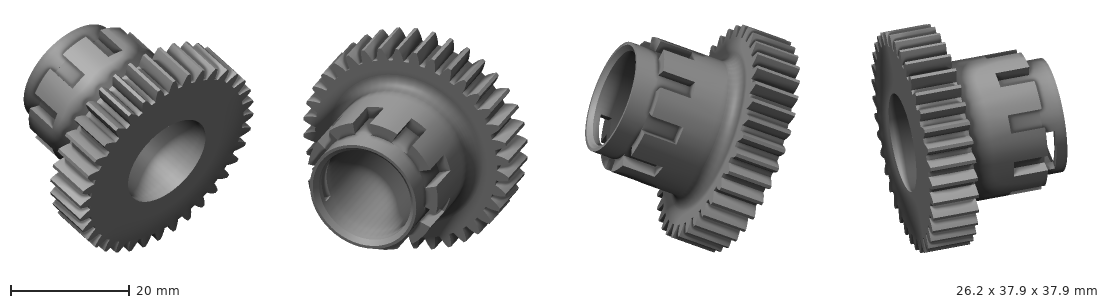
import cadquery as cq
import math

total_length = 26.2
gear_width = 8.0
lip_length = 4.0
slot_length = 6.0

bore_radius = 8.5
lip_radius = 9.8
hub_radius = 12.0
hub_fillet = 2.0
mouth_chamfer = 0.8

tooth_count = 36
gear_height = 37.9
root_radius = 16.75
root_thickness = 2.0
middle_thickness = 1.5
tip_angle = 1.8

slot_count = 9
slot_width = 3.2
slot_floor_radius = 9.78

window_start = 1.95
window_angle = 50

gear_start = total_length - gear_width
pitch_angle = 2 * math.pi / tooth_count
tip_half = math.radians(tip_angle / 2)
tip_radius = gear_height / 2 / math.cos(pitch_angle / 2 - tip_half)


def polar(radius, angle):
    return (radius * math.cos(angle), radius * math.sin(angle))


def gear_outline():
    middle_radius = (root_radius + tip_radius) / 2

    root_half = root_thickness / 2 / root_radius
    middle_half = middle_thickness / 2 / middle_radius

    first_centre = pitch_angle / 2
    outline = cq.Workplane("YZ", origin=(gear_start, 0, 0))
    outline = outline.moveTo(*polar(root_radius, first_centre - root_half))
    for tooth in range(tooth_count):
        centre = first_centre + tooth * pitch_angle
        rising_middle = polar(middle_radius, centre - middle_half)
        rising_tip = polar(tip_radius, centre - tip_half)
        falling_tip = polar(tip_radius, centre + tip_half)
        falling_middle = polar(middle_radius, centre + middle_half)
        falling_root = polar(root_radius, centre + root_half)
        space_middle = polar(root_radius, centre + pitch_angle / 2)
        next_root = polar(root_radius, centre + pitch_angle - root_half)
        outline = (
            outline.threePointArc(rising_middle, rising_tip)
            .threePointArc(polar(tip_radius, centre), falling_tip)
            .threePointArc(falling_middle, falling_root)
            .threePointArc(space_middle, next_root)
        )
    return outline.close()


def hub():
    """Stepped sleeve that flares into the gear face."""
    fillet_middle = hub_fillet * (1 - math.sqrt(0.5))
    return (
        cq.Workplane("XZ")
        .lineTo(0, lip_radius)
        .lineTo(lip_length, lip_radius)
        .lineTo(lip_length, hub_radius)
        .lineTo(gear_start - hub_fillet, hub_radius)
        .threePointArc(
            (gear_start - fillet_middle, hub_radius + fillet_middle),
            (gear_start, hub_radius + hub_fillet),
        )
        .lineTo(total_length, hub_radius + hub_fillet)
        .lineTo(total_length, 0)
        .close()
        .revolve(360, (0, 0, 0), (1, 0, 0))
    )


def bore():
    """Through bore with a chamfered mouth at the lip."""
    return (
        cq.Workplane("XZ")
        .lineTo(0, bore_radius + mouth_chamfer)
        .lineTo(mouth_chamfer, bore_radius)
        .lineTo(total_length, bore_radius)
        .lineTo(total_length, 0)
        .close()
        .revolve(360, (0, 0, 0), (1, 0, 0))
    )


def hub_slot(angle):
    """Flat-floored slot, open at the shoulder between lip and hub."""
    slot = cq.Workplane("XY").box(slot_length, hub_radius, slot_width, centered=(False, False, True))
    return slot.translate((lip_length, slot_floor_radius, 0)).rotate((0, 0, 0), (1, 0, 0), angle)


def lip_window():
    """Opening through the lip wall with radial end faces, ending at the hub shoulder."""
    half_angle = math.radians(window_angle / 2)
    return (
        cq.Workplane("YZ", origin=(window_start, 0, 0))
        .lineTo(*polar(hub_radius, -half_angle))
        .lineTo(*polar(hub_radius, half_angle))
        .close()
        .extrude(lip_length - window_start)
    )


gear = gear_outline().extrude(gear_width)
result = gear.union(hub()).cut(bore())
for index in range(slot_count):
    result = result.cut(hub_slot(index * 360 / slot_count))
result = result.cut(lip_window())